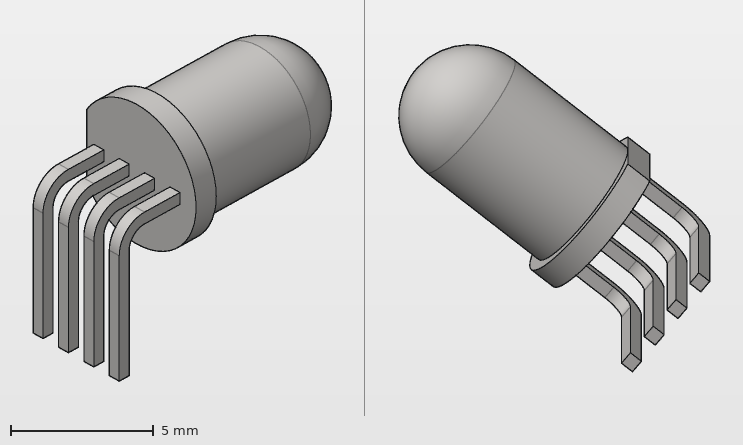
import cadquery as cq

lens_radius = 2.5
lens_length = 8.6
flange_radius = 2.95
flange_thickness = 1.0
flat_x = -lens_radius

lead_count = 4
lead_pitch = 1.26
lead_width = 0.5
lead_reach = 3.0
lead_drop = 6.3
bend_outer_radius = 1.25
bend_inner_radius = bend_outer_radius - lead_width


def make_flange():
    """Round flange with one flat on its -X side."""
    disc = cq.Workplane("XZ").circle(flange_radius).extrude(-flange_thickness)
    flange_diameter = 2 * flange_radius
    keep_box = cq.Workplane("XY").box(
        flange_diameter, flange_thickness, flange_diameter, centered=(False, False, True)
    )
    return disc.intersect(keep_box.translate((flat_x, 0, 0)))


def make_lens():
    """Domed lens revolved about Y and joined to its flange."""
    dome_start = lens_length - lens_radius
    dome_middle = lens_radius * 0.5 ** 0.5
    bullet = (
        cq.Workplane("XY")
        .lineTo(lens_radius, 0)
        .lineTo(lens_radius, dome_start)
        .threePointArc((dome_middle, dome_start + dome_middle), (0, lens_length))
        .close()
        .revolve(360, (0, 0), (0, 1))
    )
    return bullet.union(make_flange())


def make_lead(center_x):
    """Bent square lead whose horizontal run is centred on the lens axis."""
    top = lead_width / 2
    bend_start_y = bend_outer_radius - lead_reach
    bend_end_z = top - bend_outer_radius
    return (
        cq.Workplane("YZ", origin=(center_x, 0, 0))
        .moveTo(0, top)
        .lineTo(bend_start_y, top)
        .radiusArc((-lead_reach, bend_end_z), -bend_outer_radius)
        .lineTo(-lead_reach, -lead_drop)
        .lineTo(lead_width - lead_reach, -lead_drop)
        .lineTo(lead_width - lead_reach, bend_end_z)
        .radiusArc((bend_start_y, -top), bend_inner_radius)
        .lineTo(0, -top)
        .close()
        .extrude(lead_width / 2, both=True)
    )


lens = make_lens()

leads = []
for index in range(lead_count):
    lead_x = (index - (lead_count - 1) / 2) * lead_pitch
    leads.append(make_lead(lead_x).val())

result = cq.Compound.makeCompound([lens.val(), *leads])